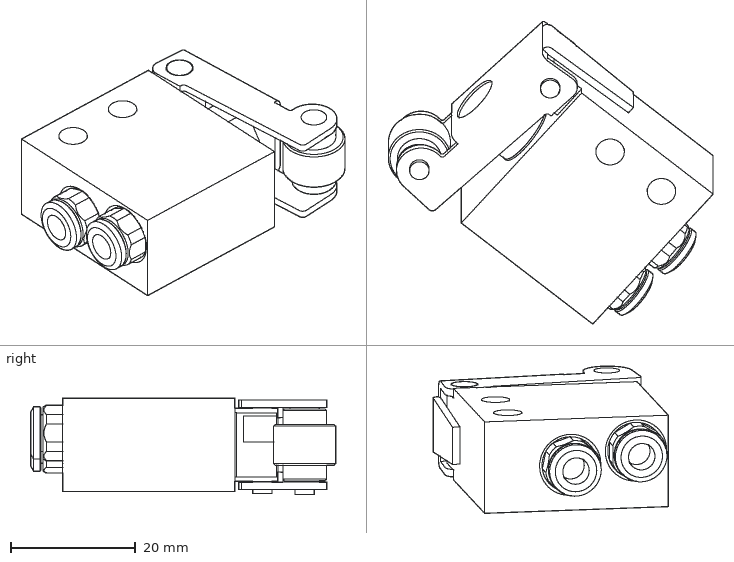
import cadquery as cq
import math


HOUSING_WIDTH = 30.0
HOUSING_LENGTH = 27.65
HOUSING_THICKNESS = 15.0
MID_Z = HOUSING_THICKNESS / 2
MOUNT_HOLE_DIAMETER = 4.55
MOUNT_HOLE_X = 5.0
MOUNT_HOLE_YS = (6.65, 17.45)
PORT_MOUTH_RADIUS = 5.0
PORT_FLOOR_RADIUS = 4.5
PORT_RECESS_DEPTH = 0.5

BOSS_WIDTH = 6.1
BOSS_THICKNESS = 11.75
BOSS_END_Y = 34.55
BOSS_CHAMFER = 1.1

LEVER_TILT = 5.0
PIVOT_X = 2.6
PIVOT_Y = 32.05
LEVER_WIDTH = 14.4
SHEET = 1.22
LEVER_BOTTOM_Z = MID_Z - LEVER_WIDTH / 2
LEVER_TOP_Z = MID_Z + LEVER_WIDTH / 2
ARM_GAP = LEVER_WIDTH - 2 * SHEET
WEB_TOP = 4.8
WEB_START = -3.0
WEB_END = 17.55
ARM_END = 29.0
ARM_TOP = 3.4
EAR_RADIUS = 3.95
EAR_ACROSS = 4.2
EAR_ALONG = ARM_END - EAR_RADIUS
HEEL_START = -3.85
HEEL_END = 3.5
HEEL_BOTTOM = -3.68
ARM_BOTTOM_NEAR = -2.85
ARM_BOTTOM_FAR = -2.3
HEEL_ROUND = 1.95
HEEL_INNER_ROUND = 0.6
ARM_END_ROUND = 0.8
EAR_INNER_ROUND = 0.4
DIMPLE_RADIUS = 3.9
DIMPLE_ALONG = 12.35
DIMPLE_DEPTH = 0.4
TONGUE_OUTER_X = -1.85
TONGUE_BEND = 1.2
TONGUE_TIP_Y = 18.35
TONGUE_SHOULDER_Y = 35.2
TONGUE_TOP_Y = 36.55
TONGUE_TIP_WIDTH = 6.1
TONGUE_ROOT_WIDTH = 8.8

HEAD_RADIUS = 2.05
SHANK_RADIUS = 1.55
PIVOT_HOLE_RADIUS = 2.15
PIVOT_PROTRUSION = 0.35
ROLLER_PROTRUSION = 0.5
ROLLER_X = 27.1
ROLLER_Y = 38.85
ROLLER_RADIUS = 5.0
ROLLER_WIDTH = 6.55
HUB_RADIUS = 3.55
HUB_WIDTH = 11.55
ROLLER_CHAMFER = 0.3
SPACER_RADIUS = 2.35

PLUNGER_X = 13.95
PLUNGER_RADIUS = 5.15
PLUNGER_TOP_Y = 34.3
PLUNGER_BASE_RADIUS = 5.2
PLUNGER_BASE_HEIGHT = 0.3
FLAT_START_Y = 29.05
FLAT_OFFSET = 4.45
FLAT_ANGLE = 35.0

FITTINGS = ((13.95, 7.45, -11.5), (24.7, 9.4, 0.0))
CORNER_UP_TURN = 30.0
HEX_APOTHEM = 4.25
HEX_ROUND_RADIUS = 4.5
HEX_END_RADIUS = 4.15
HEX_LENGTH = 3.2
HEX_CHAMFER_LENGTH = 0.6
NECK_RADIUS = 2.95
COLLAR_START = 3.5
COLLAR_RADIUS = 4.2
COLLAR_CHAMFER = 0.2
FITTING_LENGTH = 5.15
COLLAR_END_LENGTH = 0.5
COLLAR_END_RADIUS = 3.4
TUBE_BORE_RADIUS = 2.15
TUBE_BORE_DEPTH = 4.4


def z_cylinder(x, y, radius, bottom, top):
    """Cylinder along Z between two heights."""
    return cq.Workplane("XY", origin=(x, y, bottom)).circle(radius).extrude(top - bottom)


def y_cylinder(x, z, radius, start, end):
    """Cylinder along Y between two positions."""
    return cq.Workplane("XZ", origin=(x, start, z)).circle(radius).extrude(start - end)


def make_housing():
    block = cq.Workplane("XY").box(
        HOUSING_WIDTH, HOUSING_LENGTH, HOUSING_THICKNESS, centered=False
    )
    boss = (
        cq.Workplane("XY", origin=(0, 0, MID_Z))
        .moveTo(0, HOUSING_LENGTH)
        .lineTo(BOSS_WIDTH, HOUSING_LENGTH)
        .lineTo(BOSS_WIDTH, BOSS_END_Y)
        .lineTo(0, BOSS_END_Y)
        .close()
        .extrude(BOSS_THICKNESS / 2, both=True)
        .edges("|Z and <X and >Y").chamfer(BOSS_CHAMFER)
    )
    housing = block.union(boss)
    for y in MOUNT_HOLE_YS:
        housing = housing.cut(
            z_cylinder(MOUNT_HOLE_X, y, MOUNT_HOLE_DIAMETER / 2, 0, HOUSING_THICKNESS)
        )
    for x, z, _ in FITTINGS:
        mouth = cq.Solid.makeCone(
            PORT_MOUTH_RADIUS, PORT_FLOOR_RADIUS, PORT_RECESS_DEPTH, cq.Vector(x, 0, z), cq.Vector(0, 1, 0)
        )
        housing = housing.cut(cq.Workplane(mouth))
    return housing.cut(z_cylinder(PIVOT_X, PIVOT_Y, SHANK_RADIUS, 0, HOUSING_THICKNESS))


def make_lever_channel():
    """Two arms joined by a web, straight along X with the pivot axis at the origin."""
    outline = (
        cq.Workplane("XY", origin=(0, 0, LEVER_BOTTOM_Z))
        .moveTo(WEB_START, WEB_TOP)
        .lineTo(WEB_START, WEB_TOP - SHEET)
        .lineTo(HEEL_START, HEEL_BOTTOM)
        .lineTo(HEEL_END, HEEL_BOTTOM)
        .lineTo(HEEL_END, ARM_BOTTOM_NEAR)
        .lineTo(ARM_END, ARM_BOTTOM_FAR)
        .lineTo(ARM_END, EAR_ACROSS)
        .threePointArc(
            (EAR_ALONG, EAR_ACROSS + EAR_RADIUS), (EAR_ALONG - EAR_RADIUS, EAR_ACROSS)
        )
        .lineTo(EAR_ALONG - EAR_RADIUS, ARM_TOP)
        .lineTo(WEB_END, ARM_TOP)
        .lineTo(WEB_END, WEB_TOP)
        .close()
        .extrude(LEVER_WIDTH)
    )

    def round_corner(body, along, across, radius):
        corner = cq.selectors.NearestToPointSelector((along, across, MID_Z))
        return body.edges("|Z").edges(corner).fillet(radius)

    channel = round_corner(outline, HEEL_START, HEEL_BOTTOM, HEEL_ROUND)
    channel = round_corner(channel, HEEL_END, ARM_BOTTOM_NEAR, HEEL_INNER_ROUND)
    channel = round_corner(channel, ARM_END, ARM_BOTTOM_FAR, ARM_END_ROUND)
    channel = round_corner(channel, EAR_ALONG - EAR_RADIUS, ARM_TOP, EAR_INNER_ROUND)

    for z in (LEVER_BOTTOM_Z, LEVER_TOP_Z):
        side = cq.selectors.NearestToPointSelector(((WEB_START + WEB_END) / 2, WEB_TOP, z))
        channel = channel.edges(side).fillet(SHEET)

    reach = 2 * ARM_END
    under_web = (
        cq.Workplane("XY", origin=(0, WEB_TOP - SHEET - reach / 2, MID_Z))
        .box(2 * reach, reach, ARM_GAP)
    )
    past_web = (
        cq.Workplane("XY", origin=(WEB_END + reach / 2, 0, MID_Z))
        .box(reach, reach, ARM_GAP)
    )
    dimple = y_cylinder(DIMPLE_ALONG, MID_Z, DIMPLE_RADIUS, WEB_TOP - DIMPLE_DEPTH, WEB_TOP)
    pivot_holes = z_cylinder(0, 0, PIVOT_HOLE_RADIUS, MID_Z, LEVER_TOP_Z).union(
        z_cylinder(0, 0, SHANK_RADIUS, LEVER_BOTTOM_Z, MID_Z)
    )
    return channel.cut(under_web).cut(past_web).cut(dimple).cut(pivot_holes)


def make_tongue():
    tip = TONGUE_TIP_WIDTH / 2
    root = TONGUE_ROOT_WIDTH / 2
    tongue = (
        cq.Workplane("YZ", origin=(TONGUE_OUTER_X, 0, MID_Z))
        .polyline([
            (TONGUE_TIP_Y, -tip),
            (TONGUE_SHOULDER_Y, -root),
            (TONGUE_TOP_Y, -root),
            (TONGUE_TOP_Y, root),
            (TONGUE_SHOULDER_Y, root),
            (TONGUE_TIP_Y, tip),
        ])
        .close()
        .extrude(SHEET)
    )
    return tongue.edges("|Z and <X and >Y").fillet(TONGUE_BEND)


def make_lever():
    channel = (
        make_lever_channel()
        .rotate((0, 0, 0), (0, 0, 1), LEVER_TILT)
        .translate((PIVOT_X, PIVOT_Y, 0))
    )
    lever = channel.union(make_tongue())
    lever = lever.cut(z_cylinder(ROLLER_X, ROLLER_Y, HEAD_RADIUS, MID_Z, LEVER_TOP_Z))
    return lever.cut(z_cylinder(ROLLER_X, ROLLER_Y, SHANK_RADIUS, LEVER_BOTTOM_Z, MID_Z))


def make_pivot_pin():
    shank = z_cylinder(PIVOT_X, PIVOT_Y, SHANK_RADIUS, -PIVOT_PROTRUSION, LEVER_TOP_Z)
    head = z_cylinder(PIVOT_X, PIVOT_Y, HEAD_RADIUS, LEVER_TOP_Z - SHEET, LEVER_TOP_Z)
    return shank.union(head)


def make_roller():
    """Roller with its hub and axle, turned as one piece."""

    def centred(radius, width):
        return z_cylinder(ROLLER_X, ROLLER_Y, radius, MID_Z - width / 2, MID_Z + width / 2)

    rim = centred(ROLLER_RADIUS, ROLLER_WIDTH).edges().chamfer(ROLLER_CHAMFER)
    hub = centred(HUB_RADIUS, HUB_WIDTH).edges().chamfer(ROLLER_CHAMFER)
    spacer = centred(SPACER_RADIUS, ARM_GAP)
    head = z_cylinder(ROLLER_X, ROLLER_Y, HEAD_RADIUS, MID_Z, LEVER_TOP_Z)
    shank = z_cylinder(ROLLER_X, ROLLER_Y, SHANK_RADIUS, -ROLLER_PROTRUSION, MID_Z)
    return rim.union(hub).union(spacer).union(head).union(shank)


def make_plunger():
    base_top = HOUSING_LENGTH + PLUNGER_BASE_HEIGHT
    base = y_cylinder(PLUNGER_X, MID_Z, PLUNGER_BASE_RADIUS, HOUSING_LENGTH, base_top)
    stem = y_cylinder(PLUNGER_X, MID_Z, PLUNGER_RADIUS, base_top, PLUNGER_TOP_Y)
    flat = (
        cq.Workplane("XY")
        .box(PLUNGER_RADIUS, PLUNGER_TOP_Y - FLAT_START_Y, 2 * PLUNGER_RADIUS, centered=(False, False, True))
        .translate((FLAT_OFFSET, 0, 0))
        .rotate((0, 0, 0), (0, 1, 0), -FLAT_ANGLE)
        .translate((PLUNGER_X, FLAT_START_Y, MID_Z))
    )
    return base.union(stem.cut(flat))


def make_fitting(x, z, turn):
    """Push-in fitting with a rounded hexagon and a release collar, pointing towards -Y."""
    turned = (
        cq.Workplane("XY")
        .polyline([
            (0, -PORT_RECESS_DEPTH),
            (HEX_ROUND_RADIUS, -PORT_RECESS_DEPTH),
            (HEX_ROUND_RADIUS, HEX_LENGTH - HEX_CHAMFER_LENGTH),
            (HEX_END_RADIUS, HEX_LENGTH),
            (NECK_RADIUS, HEX_LENGTH),
            (NECK_RADIUS, COLLAR_START),
            (COLLAR_RADIUS - COLLAR_CHAMFER, COLLAR_START),
            (COLLAR_RADIUS, COLLAR_START + COLLAR_CHAMFER),
            (COLLAR_RADIUS, FITTING_LENGTH - COLLAR_END_LENGTH),
            (COLLAR_END_RADIUS, FITTING_LENGTH),
            (0, FITTING_LENGTH),
        ])
        .close()
        .revolve(360, (0, 0), (0, 1))
        .rotate((0, 0, 0), (1, 0, 0), 180)
    )
    hex_prism = (
        cq.Workplane("XZ", origin=(0, PORT_RECESS_DEPTH, 0))
        .polygon(6, 2 * HEX_APOTHEM / math.cos(math.pi / 6))
        .extrude(FITTING_LENGTH + PORT_RECESS_DEPTH)
        .rotate((0, 0, 0), (0, 1, 0), CORNER_UP_TURN - turn)
    )
    bore = y_cylinder(0, 0, TUBE_BORE_RADIUS, TUBE_BORE_DEPTH - FITTING_LENGTH, -FITTING_LENGTH)
    return turned.intersect(hex_prism).cut(bore).translate((x, 0, z))


housing = make_housing()
lever = make_lever()
pivot_pin = make_pivot_pin()
roller = make_roller()
plunger = make_plunger()
fittings = [make_fitting(x, z, turn) for x, z, turn in FITTINGS]

result = cq.Compound.makeCompound([
    housing.val(),
    lever.val(),
    pivot_pin.val(),
    roller.val(),
    plunger.val(),
    *[fitting.val() for fitting in fittings],
])